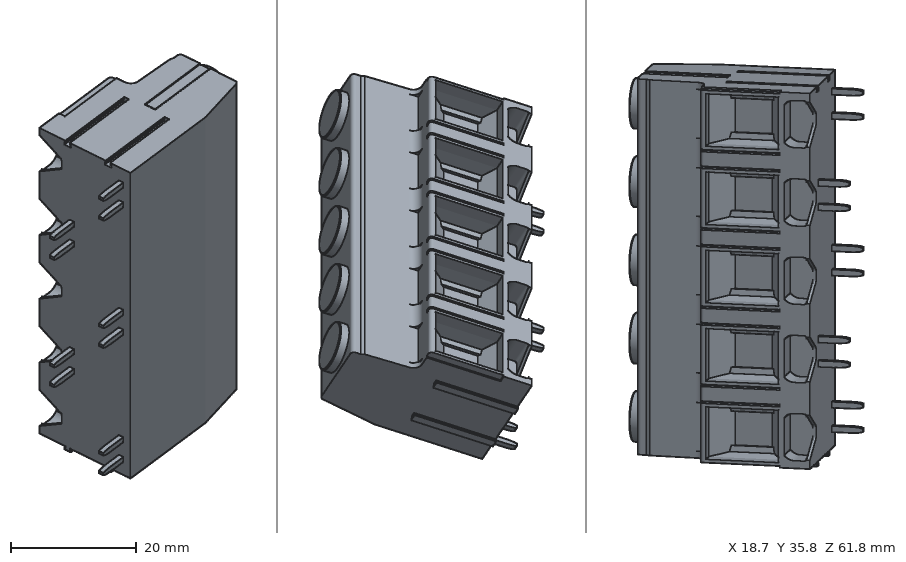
import cadquery as cq
import math

poles = 5
pitch = 12.7
depth = 18.7
height = 29.25
length = 61.05
pole_positions = [(i - (poles - 1) / 2) * pitch for i in range(poles)]
top_z = length / 2
pick_reach = 0.05

shelf_y = 17.9
shelf_round = 0.6
wall_foot_x = 4.4
wall_bend_x, wall_bend_y = 4.7, 27.1
crown_x, crown_y = 4.95, 27.7
crown_round = 0.7
wall_root_round = 1.55
back_top_x = 16.85
back_shoulder_y = 18.8

corner_half = 3.95

entry_top, entry_bottom = 16.9, 5.1
entry_half = 4.25
entry_straight = 2.15
throat_top, throat_bottom = 13.2, 7.2
lip_x, lip_half = 4.3, 3.75
throat_x, throat_half = 4.5, 2.8
entry_depth = 4.95

slit_centre = 5.0
slit_width = 0.4
slit_depth = 1.25
slit_bottom = 4.95

pocket_depth = 4.55
pocket_top = 4.2
pocket_half = 3.8
pocket_back_half = 3.0
pocket_round = 2.15
pocket_wall = 0.55
pocket_front_round = 0.45
notch_half_outer, notch_half_inner = 3.65, 1.0
notch_round = 0.5

screw_x = 10.1
screw_radius = 4.1
screw_height = 1.55
screw_chamfer = 0.2

pin_rows = (16.8, 6.65)
pin_offset = 2.0
pin_width = 0.9
pin_length = 5.0
pin_half = 0.5
pin_taper_half, pin_taper = 0.4, 1.5
pin_tip_half, pin_tip = 0.25, 0.5

rail_positions = (5.8, 14.1)
neck_width = 0.9
head_width = 1.3
neck_height = 0.4
rail_height = 0.7
rail_length = 14.3
groove_depth = 0.85
groove_length = 14.8

recess_left, recess_right = 9.1, 11.2
recess_bottom = 15.4
recess_depth = 0.2


def box(x0, x1, y0, y1, z0, z1):
    return cq.Workplane("XY").box(x1 - x0, y1 - y0, z1 - z0, centered=False).translate((x0, y0, z0))


def prism_along_z(points, half):
    return cq.Workplane("XY").polyline(points).close().extrude(half, both=True)


def prism_along_y(points, y0, y1):
    """Extrude an outline of (x, z) points from y0 up to y1."""
    return cq.Workplane("XZ", origin=(0, y0, 0)).polyline(points).close().extrude(y0 - y1)


def mirrored(half_outline):
    """Close a half outline of (position, z) points by its mirror image across z = 0."""
    return half_outline + [(position, -z) for position, z in reversed(half_outline)]


def wall_x(y):
    """X position of the leaning wall above the shelf."""
    lean = (wall_bend_x - wall_foot_x) / (wall_bend_y - shelf_y)
    return wall_foot_x + lean * (y - shelf_y)


def housing():
    outline = [
        (0, 0),
        (depth, 0),
        (depth, back_shoulder_y),
        (back_top_x, height),
        (crown_x, height),
        (crown_x, crown_y),
        (wall_bend_x, wall_bend_y),
        (wall_foot_x, shelf_y),
        (0, shelf_y),
    ]
    body = prism_along_z(outline, top_z)

    def rounded(solid, x, y, radius):
        edge = cq.selectors.BoxSelector(
            (x - pick_reach, y - pick_reach, -pick_reach),
            (x + pick_reach, y + pick_reach, pick_reach),
        )
        return solid.edges(edge).fillet(radius)

    body = rounded(body, 0, shelf_y, shelf_round)
    body = rounded(body, wall_foot_x, shelf_y, wall_root_round)
    body = rounded(body, crown_x, height, crown_round)
    return rounded(body, back_top_x, height, crown_round)


def corner_relief():
    reach = 2 * wall_root_round
    top = shelf_y + reach
    points = [
        (wall_foot_x - reach, shelf_y),
        (wall_foot_x, shelf_y),
        (wall_x(top), top),
        (wall_foot_x - reach, top),
    ]
    return prism_along_z(points, corner_half)


def wire_entry():
    funnel_height = prism_along_z(
        [
            (0, entry_top),
            (entry_straight, entry_top),
            (entry_depth, throat_top),
            (entry_depth, throat_bottom),
            (entry_straight, entry_bottom),
            (0, entry_bottom),
        ],
        entry_half,
    )
    half_outline = [
        (0, entry_half),
        (entry_straight, entry_half),
        (lip_x, lip_half),
        (throat_x, throat_half),
        (entry_depth, throat_half),
    ]
    funnel_width = prism_along_y(mirrored(half_outline), entry_bottom, entry_top)
    return funnel_height.intersect(funnel_width)


def slits():
    pair = cq.Workplane("XY")
    for side in (-1, 1):
        z = side * slit_centre
        slit = box(0, slit_depth, slit_bottom, shelf_y, z - slit_width / 2, z + slit_width / 2)
        pair = pair.add(slit)
    return pair.combine()


def test_pocket():
    drop = pocket_half - pocket_back_half
    arc_run = math.sqrt(pocket_round**2 - (pocket_round - drop) ** 2)
    arc_start = pocket_top - arc_run
    cavity = (
        cq.Workplane("YZ")
        .moveTo(pocket_wall, -pocket_half)
        .lineTo(arc_start, -pocket_half)
        .radiusArc((pocket_top, -pocket_back_half), -pocket_round)
        .lineTo(pocket_top, pocket_back_half)
        .radiusArc((arc_start, pocket_half), -pocket_round)
        .lineTo(pocket_wall, pocket_half)
        .close()
        .extrude(pocket_depth)
        .edges("|X and <Y")
        .fillet(pocket_front_round)
    )
    half_outline = [(0, notch_half_outer), (pocket_depth, notch_half_inner)]
    notch = prism_along_y(mirrored(half_outline), 0, pocket_wall)
    notch = notch.edges("|Y and >X").fillet(notch_round)
    return cavity.union(notch)


def screw_head():
    return (
        cq.Workplane("XZ", origin=(screw_x, height, 0))
        .circle(screw_radius)
        .extrude(-screw_height)
        .faces(">Y")
        .chamfer(screw_chamfer)
    )


def pin():
    half_outline = [
        (0, pin_half),
        (pin_taper - pin_length, pin_half),
        (pin_tip - pin_length, pin_taper_half),
        (-pin_length, pin_tip_half),
    ]
    points = [(z, y) for y, z in mirrored(half_outline)]
    return cq.Workplane("ZY").polyline(points).close().extrude(pin_width / 2, both=True)


def t_rail(x, face_z, total, run):
    """T-section bar hanging down from face_z, starting at the board face."""
    neck_z = face_z - neck_height
    neck = box(x - neck_width / 2, x + neck_width / 2, 0, run, neck_z, face_z)
    head = box(x - head_width / 2, x + head_width / 2, 0, run, face_z - total, neck_z)
    return neck.union(head)


result = housing()

for index, z in enumerate(pole_positions):
    for cutter in (corner_relief(), wire_entry(), slits(), test_pocket()):
        result = result.cut(cutter.translate((0, 0, z)))
    result = result.union(screw_head().translate((0, 0, z)))
    row_x = pin_rows[index % 2]
    for side in (-1, 1):
        result = result.union(pin().translate((row_x, 0, z + side * pin_offset)))

for x in rail_positions:
    result = result.cut(t_rail(x, top_z, groove_depth, groove_length))
    result = result.union(t_rail(x, -top_z, rail_height, rail_length))

result = result.cut(
    box(recess_left, recess_right, recess_bottom, height, top_z - recess_depth, top_z)
)